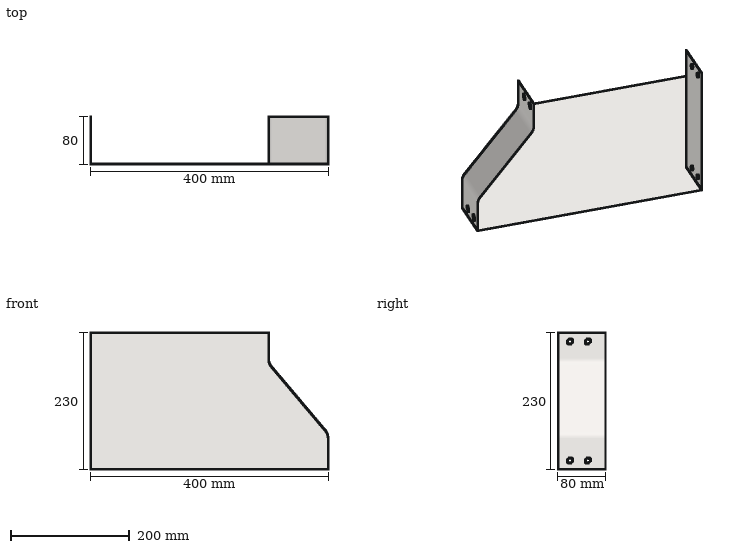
import cadquery as cq

length = 400.0
depth = 80.0
height = 230.0
sheet = 1.0

top_length = 300.0
foot_height = 60.0
slope_top = 178.5
foot_bend_radius = 21.0
top_bend_radius = 20.0

slot_length = 11.0
slot_width = 7.0
slot_angle = -45
slot_row_spacing = 200.0
slot_rows = ((height - slot_row_spacing) / 2, (height + slot_row_spacing) / 2)
slot_column_spacing = 30.0
first_slot_depth = 20.0
slot_columns = (first_slot_depth, first_slot_depth + slot_column_spacing)


def make_body():
    """Solid block with the side outline of the cover."""
    outline = [
        (0, 0),
        (length, 0),
        (length, foot_height),
        (top_length, slope_top),
        (top_length, height),
        (0, height),
    ]
    block = cq.Workplane("XZ").polyline(outline).close().extrude(-depth)
    bends = (
        (length, foot_height, foot_bend_radius),
        (top_length, slope_top, top_bend_radius),
    )
    for x, z, radius in bends:
        corner = cq.selectors.NearestToPointSelector((x, depth / 2, z))
        block = block.edges("|Y").edges(corner).fillet(radius)
    return block


def make_cavity(body):
    """Space behind the front plate, inset from both flanges and open at top and bottom."""
    profile = body.faces("<Y").wires().val()
    plane = cq.Workplane("XZ", origin=(0, sheet, 0))
    core = plane.add(profile.translate((0, sheet, 0))).toPending().offset2D(-sheet).extrude(-depth)
    for end_face in ("<Z", ">Z"):
        core = core.faces(end_face).wires().toPending().workplane().extrude(sheet)
    return core


def make_slots(start_x, reach, angle):
    """Obround cutters along X, tilted in the flange plane."""
    centres = [(y, z) for y in slot_columns for z in slot_rows]
    plane = cq.Workplane("YZ", origin=(start_x, 0, 0))
    return plane.pushPoints(centres).slot2D(slot_length, slot_width, angle).extrude(reach)


body = make_body()
cover = body.cut(make_cavity(body))
cover = cover.cut(make_slots(0, length / 2, slot_angle))
result = cover.cut(make_slots(length / 2, length / 2, -slot_angle))